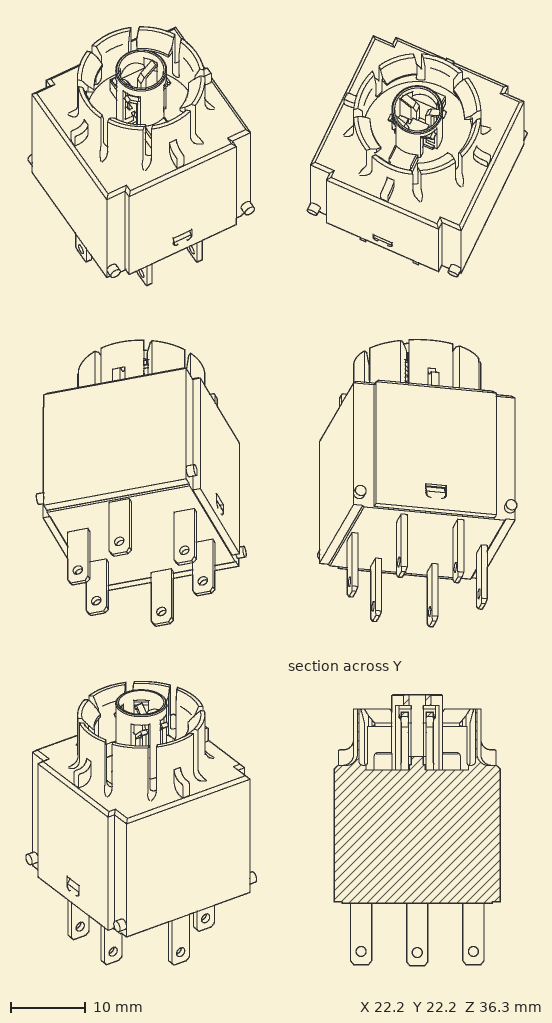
import cadquery as cq
import math

total_height = 36.25
housing_base = 8.55
deck = 26.8
collar_top = 34.33
collar_floor = 26.17

housing_width = 22.2
notch_depth = 1.05
side_panel_width = 16.53
core_width = housing_width - 2 * notch_depth
deck_chamfer = 0.47
base_plate_depth = 19.65
base_plate_thickness = 0.2
base_plate_chamfer = 0.18
pin_diameter = 1.5
pin_height = 1.65

latch_width = 2.85
latch_bottom = 1.63
latch_height = 1.92
latch_corner = 0.7
latch_gap = 0.15
latch_face_height = 0.87
latch_depth = 0.65

collar_outer_radius = 8.52
collar_bore_radius = 7.35
collar_mouth_radius = 7.98
mouth_depth = 1.9
collar_fillet = 1.5
slot_width = 1.05
slot_offset = 2.97
hook_inner_radius = 6.3
hook_lip = 0.45
hook_half_angle = 20

fin_width = 1.05
fin_reach = 10.55
fin_shoulder = 28.9
fin_arc_radius = 1.3
fin_corner = 0.3

tube_outer_diameter = 6.8
tube_bore_diameter = 6.05
tube_rim_chamfer = 0.15
window_inner_x = 0.85
window_inner_y = 1.8
window_drop = 1.5
ledge_inner_x = 2.18
ledge_rim_drop = 2.35
ledge_slope_height = 1.0
well_half_width = 2.15
post_half_width = 1.2
post_height = 1.8
socket_base_height = 0.72
terminal_half_width = 0.85
terminal_inner_y = 1.7
neck_half_width = 0.3
arm_thickness = 0.3
arm_tip_reach = 3.35
arm_peak_y = 2.9
arm_peak_drop = 2.32
arm_knee_y = 1.15
arm_foot_y = 0.65

block_reach = 5.75
block_width = 3.35
block_top = 28.53
block_clearance_radius = 3.77
block_round = 0.58
block_chamfer = 0.2
block_corner = 0.45

terminal_width = 2.85
terminal_thickness = 0.85
terminal_hole_diameter = 1.3
terminal_hole_height = 1.78
tip_height = 0.55
tip_bevel = 0.45
tip_thinning = 0.15
outer_terminal_x = 7.5
outer_terminal_y = 3.88
outer_terminal_end = 0.15
middle_terminal_y = 8.88


def box(x_range, y_range, z_range):
    """Axis-aligned box given by its extents along X, Y and Z."""
    (x0, x1), (y0, y1), (z0, z1) = x_range, y_range, z_range
    return cq.Workplane("XY").box(x1 - x0, y1 - y0, z1 - z0, centered=False).translate((x0, y0, z0))


def cylinder(radius, bottom, top):
    return cq.Workplane("XY").workplane(offset=bottom).circle(radius).extrude(top - bottom)


def make_housing():
    height = deck - housing_base
    outline = (
        cq.Sketch()
        .rect(core_width, housing_width)
        .rect(housing_width, side_panel_width)
        .clean()
    )
    body = cq.Workplane("XY").workplane(offset=housing_base).placeSketch(outline).extrude(height)
    body = body.faces(">Z").edges().chamfer(deck_chamfer)

    plate = (
        cq.Workplane("XY")
        .workplane(offset=housing_base - base_plate_thickness)
        .rect(core_width, base_plate_depth)
        .extrude(base_plate_thickness)
        .faces("<Z")
        .edges("|X")
        .chamfer(base_plate_chamfer)
    )
    body = body.union(plate)

    pin_y = (housing_width - pin_diameter) / 2
    pins = (
        cq.Workplane("YZ")
        .workplane(offset=-housing_width / 2)
        .pushPoints([(-pin_y, housing_base + pin_height), (pin_y, housing_base + pin_height)])
        .circle(pin_diameter / 2)
        .extrude(housing_width)
    )
    return body.union(pins)


def make_latch_cut():
    """Window on the +X side: a narrow groove round a latch whose upper part slopes inward."""
    outer_face = housing_width / 2
    bottom = housing_base + latch_bottom
    top = bottom + latch_height
    groove_floor = outer_face - latch_depth
    window = box((groove_floor, outer_face), (-latch_width / 2, latch_width / 2), (bottom, top))
    window = window.edges("|X and <Z").fillet(latch_corner)
    slope_start = bottom + latch_face_height
    latch = (
        cq.Workplane("XZ")
        .moveTo(groove_floor, bottom)
        .lineTo(outer_face, bottom)
        .lineTo(outer_face, slope_start)
        .lineTo(groove_floor, top - latch_gap)
        .close()
        .extrude(latch_width / 2 - latch_gap, both=True)
    )
    latch = latch.edges("|X and <Z").fillet(latch_corner - latch_gap)
    return window.cut(latch)


def make_collar():
    """Ring with a tapered mouth and a concave fillet running out onto the deck."""
    foot_radius = collar_outer_radius + collar_fillet
    fillet_mid = collar_fillet * (1 - math.sqrt(0.5))
    return (
        cq.Workplane("XZ")
        .moveTo(collar_bore_radius, collar_floor)
        .lineTo(foot_radius, collar_floor)
        .lineTo(foot_radius, deck)
        .threePointArc(
            (collar_outer_radius + fillet_mid, deck + fillet_mid),
            (collar_outer_radius, deck + collar_fillet),
        )
        .lineTo(collar_outer_radius, collar_top)
        .lineTo(collar_mouth_radius, collar_top)
        .lineTo(collar_bore_radius, collar_top - mouth_depth)
        .close()
        .revolve(360, (0, 0, 0), (0, 1, 0))
    )


def make_fins():
    half_corner = fin_corner * (1 - math.sqrt(0.5))
    arc_mid = fin_arc_radius * (1 - math.sqrt(0.5))
    fin = (
        cq.Workplane("XZ")
        .moveTo(collar_mouth_radius, deck)
        .lineTo(fin_reach, deck)
        .lineTo(fin_reach, fin_shoulder - fin_corner)
        .threePointArc(
            (fin_reach - half_corner, fin_shoulder - half_corner),
            (fin_reach - fin_corner, fin_shoulder),
        )
        .lineTo(collar_outer_radius + fin_arc_radius, fin_shoulder)
        .threePointArc(
            (collar_outer_radius + arc_mid, fin_shoulder + arc_mid),
            (collar_outer_radius, fin_shoulder + fin_arc_radius),
        )
        .lineTo(collar_mouth_radius, fin_shoulder + fin_arc_radius)
        .close()
        .extrude(fin_width / 2, both=True)
    )
    return [fin.rotate((0, 0, 0), (0, 0, 1), angle) for angle in range(0, 360, 90)]


def make_hooks():
    """Four inward snap hooks with sloped tops, centred on the diagonals."""
    hook_tip = collar_top - mouth_depth
    hook = (
        cq.Workplane("XZ")
        .moveTo(collar_mouth_radius, collar_top)
        .lineTo(hook_inner_radius, hook_tip)
        .lineTo(hook_inner_radius, hook_tip - hook_lip)
        .lineTo(collar_mouth_radius, hook_tip - hook_lip)
        .close()
        .revolve(2 * hook_half_angle, (0, 0, 0), (0, 1, 0))
    )
    first = 45 - hook_half_angle
    return [hook.rotate((0, 0, 0), (0, 0, 1), first + turn) for turn in range(0, 360, 90)]


def make_collar_slots():
    """Round-bottomed slots that run parallel to the diagonals."""
    radius = slot_width / 2
    length = 2 * (collar_outer_radius + collar_fillet)
    slots = []
    for side in (-slot_offset, slot_offset):
        slot = box(
            (-length / 2, length / 2),
            (side - radius, side + radius),
            (deck + radius, collar_top),
        )
        bottom = (
            cq.Workplane("YZ")
            .workplane(offset=-length / 2)
            .center(side, deck + radius)
            .circle(radius)
            .extrude(length)
        )
        slot = slot.union(bottom)
        slots += [slot.rotate((0, 0, 0), (0, 0, 1), angle) for angle in (45, 135)]
    return slots


def make_blocks():
    block = box((0, block_reach), (-block_width / 2, block_width / 2), (collar_floor, block_top))
    end_round = block.edges(">X and >Z").fillet(block_round)
    plan_round = block.edges("|Z and >X").fillet(block_corner)
    side_bevel = block.faces(">Z").edges("|X").chamfer(block_chamfer)
    block = end_round.intersect(plan_round).intersect(side_bevel)
    block = block.cut(cylinder(block_clearance_radius, collar_floor, block_top))
    return [block, block.mirror("YZ")]


def make_tube():
    """Lamp tube with four corner windows and a sloped ledge on each X side of the bore."""
    bore_radius = tube_bore_diameter / 2
    outer_radius = tube_outer_diameter / 2
    tube = cylinder(outer_radius, collar_floor, total_height)
    tube = tube.faces(">Z").edges().chamfer(tube_rim_chamfer)
    bore = cylinder(bore_radius, collar_floor, total_height)
    ledge_top = total_height - ledge_rim_drop
    ledge = (
        cq.Workplane("XZ")
        .moveTo(outer_radius, collar_floor)
        .lineTo(ledge_inner_x, collar_floor)
        .lineTo(ledge_inner_x, ledge_top - ledge_slope_height)
        .lineTo(bore_radius, ledge_top)
        .lineTo(outer_radius, ledge_top)
        .close()
        .extrude(window_inner_y, both=True)
    )
    tube = tube.cut(bore.cut(ledge).cut(ledge.mirror("YZ")))
    window = box(
        (window_inner_x, outer_radius),
        (window_inner_y, outer_radius),
        (collar_floor, total_height - window_drop),
    )
    for x_side in (False, True):
        for y_side in (False, True):
            cutter = window.mirror("YZ") if x_side else window
            cutter = cutter.mirror("XZ") if y_side else cutter
            tube = tube.cut(cutter)
    return tube


def make_contacts():
    """Central post, end terminals and bent contact arms inside the lamp tube."""
    post_top = collar_floor + post_height
    bore_radius = tube_bore_diameter / 2
    levels = (collar_floor, post_top)
    post = box((-post_half_width, post_half_width), (-post_half_width, post_half_width), levels)
    neck = box((-neck_half_width, neck_half_width), (-bore_radius, bore_radius), levels)
    base = box(
        (-post_half_width, post_half_width),
        (-bore_radius, bore_radius),
        (collar_floor, collar_floor + socket_base_height),
    ).intersect(cylinder(bore_radius, collar_floor, post_top))
    post = post.union(neck).union(base)

    terminal = box(
        (-terminal_half_width, terminal_half_width),
        (terminal_inner_y, bore_radius),
        levels,
    )
    peak = total_height - arm_peak_drop
    knee = peak - (arm_peak_y - arm_knee_y)
    tip = peak - (arm_tip_reach - arm_peak_y)
    arm = (
        cq.Workplane("YZ")
        .workplane(offset=post_half_width)
        .moveTo(arm_foot_y, collar_floor)
        .lineTo(arm_foot_y, knee - 2 * (arm_knee_y - arm_foot_y))
        .lineTo(arm_knee_y, knee)
        .lineTo(arm_peak_y, peak)
        .lineTo(arm_tip_reach, tip)
        .lineTo(arm_tip_reach - arm_thickness, tip - arm_thickness)
        .lineTo(arm_peak_y, peak - 2 * arm_thickness)
        .lineTo(arm_knee_y + arm_thickness, knee - arm_thickness)
        .lineTo(arm_knee_y + arm_thickness, collar_floor)
        .close()
        .extrude(well_half_width - post_half_width)
    )
    end = terminal.union(arm).union(arm.mirror("YZ"))
    return [post, end, end.mirror("XZ")]


def make_terminal(x, y, end):
    """Flat blade with a bevelled tip and a cross hole."""
    shoulder = end + tip_height
    tip = (
        cq.Workplane("XY")
        .workplane(offset=end)
        .rect(terminal_width - 2 * tip_bevel, terminal_thickness - 2 * tip_thinning)
        .workplane(offset=tip_height)
        .rect(terminal_width, terminal_thickness)
        .loft(ruled=True)
    )
    blade = (
        cq.Workplane("XY")
        .workplane(offset=shoulder)
        .rect(terminal_width, terminal_thickness)
        .extrude(housing_base - shoulder)
    )
    hole = (
        cq.Workplane("XZ")
        .center(0, end + terminal_hole_height)
        .circle(terminal_hole_diameter / 2)
        .extrude(terminal_thickness, both=True)
    )
    return blade.union(tip).cut(hole).translate((x, y, 0))


latch_cut = make_latch_cut()
result = make_housing().cut(latch_cut).cut(latch_cut.mirror("YZ"))
result = result.cut(cylinder(collar_bore_radius, collar_floor, deck))
result = result.union(make_collar())
for hook in make_hooks():
    result = result.union(hook)
for slot in make_collar_slots():
    result = result.cut(slot)
for feature in make_fins() + make_blocks():
    result = result.union(feature)
result = result.union(make_tube())
for contact in make_contacts():
    result = result.union(contact)

for y_sign in (-1, 1):
    result = result.union(make_terminal(0, y_sign * middle_terminal_y, 0))
    for x_sign in (-1, 1):
        result = result.union(
            make_terminal(x_sign * outer_terminal_x, y_sign * outer_terminal_y, outer_terminal_end)
        )